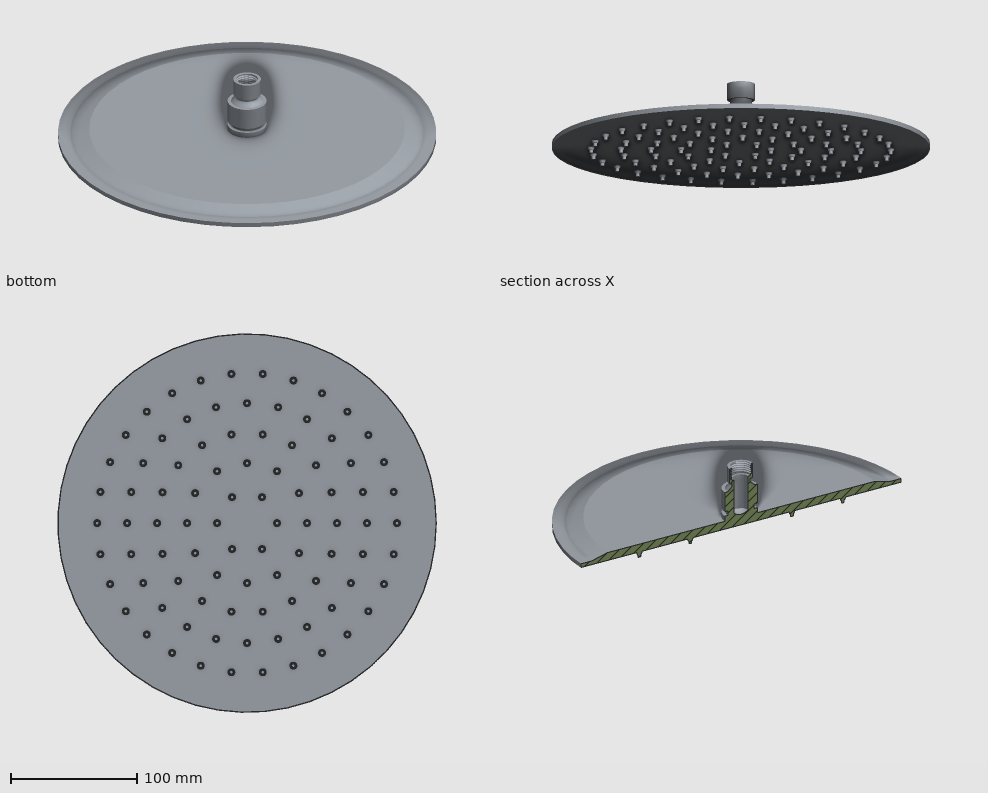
import cadquery as cq
import math

PLATE_DIAMETER = 300
TOTAL_HEIGHT = 56.5

NOZZLE_TIP_DIAMETER = 2.97
NOZZLE_BASE_DIAMETER = 5.5
NOZZLE_SHELF_DIAMETER = 4.2
NOZZLE_TIP_HEIGHT = 2.5
NOZZLE_BASE_HEIGHT = 2.0
NOZZLE_RING_COUNT = 5
OUTER_RING_RADIUS = 118.8
NOZZLES_PER_RING_STEP = 6

RIM_THICKNESS = 3.5
SHOULDER_HEIGHT = 3.5
SHOULDER_BOTTOM_DIAMETER = 280.0
SHOULDER_TOP_DIAMETER = 250.2

BODY_DIAMETER = 31.0
FLANGE_HEIGHT = 4.5
GROOVE_DIAMETER = 25.0
GROOVE_HEIGHT = 3.5
BODY_HEIGHT = 17.0
CONE_BOTTOM_DIAMETER = 25.5
CONE_HEIGHT = 3.5
NECK_DIAMETER = 17.5
NECK_HEIGHT = 2.7
COLLAR_DIAMETER = 22.0

SOCKET_DIAMETER = 17.0
SOCKET_DEPTH = 10.5
THREAD_MAJOR_DIAMETER = 20.0
THREAD_PITCH = 1.8
THREAD_TURNS = 5
THREAD_MOUTH_WIDTH = 1.5
PASSAGE_DIAMETER = 12.5
PASSAGE_END_DEPTH = 2.0

plate_bottom = NOZZLE_TIP_HEIGHT + NOZZLE_BASE_HEIGHT
rim_top = plate_bottom + RIM_THICKNESS
plate_top = rim_top + SHOULDER_HEIGHT
flange_top = plate_top + FLANGE_HEIGHT
body_bottom = flange_top + GROOVE_HEIGHT
body_top = body_bottom + BODY_HEIGHT
neck_bottom = body_top + CONE_HEIGHT
collar_bottom = neck_bottom + NECK_HEIGHT
socket_floor = TOTAL_HEIGHT - SOCKET_DEPTH


def revolve_profile(points):
    """Turn a closed (radius, height) outline about the Z axis."""
    return cq.Workplane("XZ").polyline(points).close().revolve(360, (0, 0), (0, 1))


def make_plate():
    return revolve_profile([
        (0, plate_bottom),
        (PLATE_DIAMETER / 2, plate_bottom),
        (PLATE_DIAMETER / 2, rim_top),
        (SHOULDER_BOTTOM_DIAMETER / 2, rim_top),
        (SHOULDER_TOP_DIAMETER / 2, plate_top),
        (0, plate_top),
    ])


def make_connector():
    return revolve_profile([
        (0, rim_top),
        (BODY_DIAMETER / 2, rim_top),
        (BODY_DIAMETER / 2, flange_top),
        (GROOVE_DIAMETER / 2, flange_top),
        (GROOVE_DIAMETER / 2, body_bottom),
        (BODY_DIAMETER / 2, body_bottom),
        (BODY_DIAMETER / 2, body_top),
        (CONE_BOTTOM_DIAMETER / 2, body_top),
        (NECK_DIAMETER / 2, neck_bottom),
        (NECK_DIAMETER / 2, collar_bottom),
        (COLLAR_DIAMETER / 2, collar_bottom),
        (COLLAR_DIAMETER / 2, TOTAL_HEIGHT),
        (0, TOTAL_HEIGHT),
    ])


def make_bore():
    """Socket with a ledge, then a narrower passage with a dished end inside the flange."""
    passage_radius = PASSAGE_DIAMETER / 2
    dish_bottom = flange_top - PASSAGE_END_DEPTH
    dish_radius = (passage_radius**2 + PASSAGE_END_DEPTH**2) / (2 * PASSAGE_END_DEPTH)
    half_angle = math.asin(passage_radius / dish_radius) / 2
    dish_middle = (
        dish_radius * math.sin(half_angle),
        dish_bottom + dish_radius * (1 - math.cos(half_angle)),
    )
    outline = (
        cq.Workplane("XZ")
        .moveTo(0, dish_bottom)
        .threePointArc(dish_middle, (passage_radius, flange_top))
        .lineTo(passage_radius, socket_floor)
        .lineTo(SOCKET_DIAMETER / 2, socket_floor)
        .lineTo(SOCKET_DIAMETER / 2, TOTAL_HEIGHT)
        .lineTo(0, TOTAL_HEIGHT)
        .close()
    )
    return outline.revolve(360, (0, 0), (0, 1))


def make_thread_groove():
    """Helical V-groove cut into the socket wall."""
    overlap = 0.3
    inner_radius = SOCKET_DIAMETER / 2 - overlap
    start = TOTAL_HEIGHT - THREAD_TURNS * THREAD_PITCH - THREAD_MOUTH_WIDTH / 2
    helix = cq.Wire.makeHelix(THREAD_PITCH, THREAD_TURNS * THREAD_PITCH, inner_radius)
    section = cq.Workplane("XZ").polyline([
        (inner_radius, -THREAD_MOUTH_WIDTH / 2),
        (THREAD_MAJOR_DIAMETER / 2, 0),
        (inner_radius, THREAD_MOUTH_WIDTH / 2),
    ]).close()
    return section.sweep(cq.Workplane(obj=helix), isFrenet=True).translate((0, 0, start))


def make_nozzle():
    """Tapered base with a narrower straight tip below it, sunk into the plate so that they join."""
    embed = RIM_THICKNESS / 2
    return revolve_profile([
        (0, 0),
        (NOZZLE_TIP_DIAMETER / 2, 0),
        (NOZZLE_TIP_DIAMETER / 2, NOZZLE_TIP_HEIGHT),
        (NOZZLE_SHELF_DIAMETER / 2, NOZZLE_TIP_HEIGHT),
        (NOZZLE_BASE_DIAMETER / 2, plate_bottom),
        (NOZZLE_BASE_DIAMETER / 2, plate_bottom + embed),
        (0, plate_bottom + embed),
    ]).val()


def nozzle_positions():
    """Concentric rings; each ring outwards gains six nozzles, and all start on the +X axis."""
    positions = []
    for ring in range(1, NOZZLE_RING_COUNT + 1):
        radius = OUTER_RING_RADIUS * ring / NOZZLE_RING_COUNT
        count = ring * NOZZLES_PER_RING_STEP
        for index in range(count):
            angle = 2 * math.pi * index / count
            positions.append((radius * math.cos(angle), radius * math.sin(angle)))
    return positions


nozzle = make_nozzle()
nozzles = [nozzle.translate(cq.Vector(x, y, 0)) for x, y in nozzle_positions()]

connector = make_connector().cut(make_bore()).cut(make_thread_groove())
shower_head = make_plate().union(connector).cut(make_bore())
result = cq.Workplane(obj=shower_head.val().fuse(*nozzles))